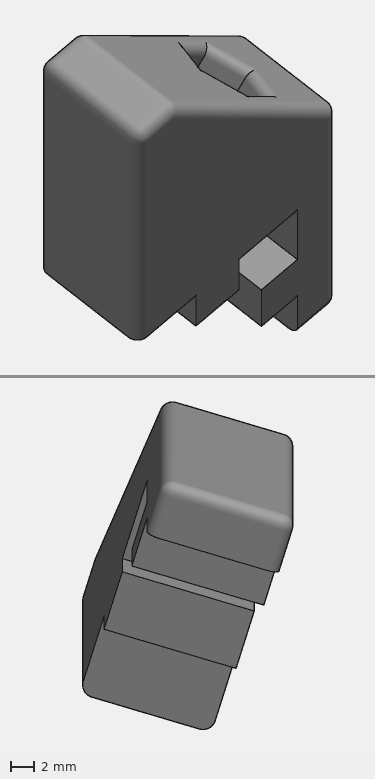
import cadquery as cq
import math

width = 12.0
depth = 25.0
height = 48.5
edge_radius = 1.1
mouth_radius = 0.95
wall = 5.0
underside = 18.5
tab_width = 5.4
tab_length = 4.5
tab_gap = 7.3
socket_flats = 7.0
socket_depth = 10.0
socket_y = 17.45

leg_front = depth - wall
slope_bottom = height - (depth - wall)
socket_z = height - (socket_y - wall)
tiny = 0.005


def make_body():
    """Sloped body with a rear leg, rounded along its outer edges."""
    profile = [
        (0, underside),
        (0, height),
        (wall, height),
        (depth, slope_bottom),
        (depth, 0),
        (leg_front, 0),
        (leg_front, underside),
    ]
    body = cq.Workplane("YZ").polyline(profile).close().extrude(width / 2, both=True)

    def is_outer(edge):
        centre = edge.Center()
        on_underside = abs(centre.z - underside) < tiny and centre.y < leg_front + tiny
        on_leg_front = abs(centre.y - leg_front) < tiny and centre.z < underside + tiny
        return not (on_underside or on_leg_front)

    outer_edges = [edge for edge in body.edges().vals() if is_outer(edge)]
    return body.newObject(outer_edges).fillet(edge_radius)


def make_tabs():
    """Locating tabs, one below the body and one in front of the leg."""
    lower_tab = cq.Workplane("XY").box(width, tab_length, tab_width, centered=(True, False, False))
    lower_tab = lower_tab.translate((0, leg_front - tab_length, underside - tab_gap - tab_width))
    upper_tab = cq.Workplane("XY").box(width, tab_width, tab_length, centered=(True, False, False))
    upper_tab = upper_tab.translate((0, leg_front - tab_gap - tab_width, underside - tab_length))
    return lower_tab.union(upper_tab)


def cut_socket(part):
    """Blind hexagonal socket square to the slope, with a rounded mouth."""
    slope_plane = cq.Plane(origin=(0, socket_y, socket_z), xDir=(1, 0, 0), normal=(0, 1, 1))
    across_corners = socket_flats / math.cos(math.pi / 6)
    socket = (
        cq.Workplane(slope_plane)
        .transformed(rotate=(0, 0, 90))
        .polygon(6, across_corners)
        .extrude(-socket_depth)
    )
    part = part.cut(socket)
    slope_face = part.faces(">(0, 1, 1)")
    mouth = slope_face.val().innerWires()[0]
    return part.newObject(mouth.Edges()).fillet(mouth_radius)


result = cut_socket(make_body().union(make_tabs()))